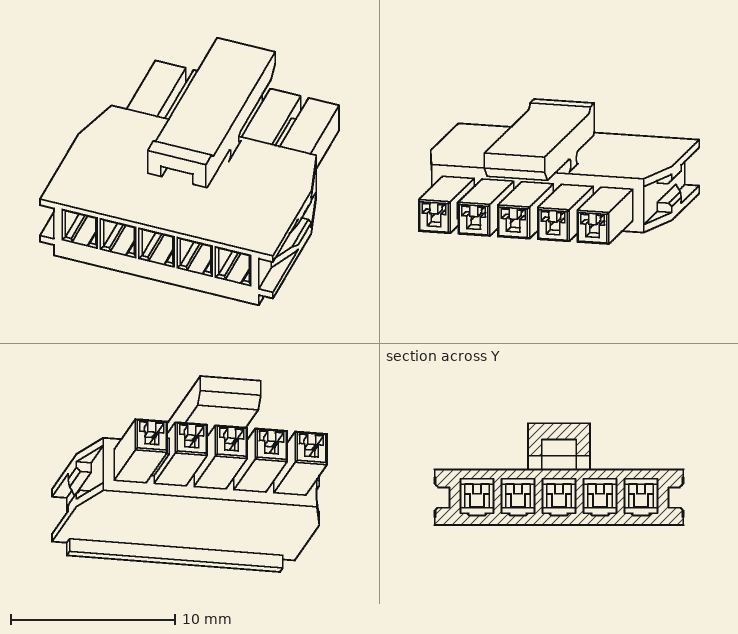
import cadquery as cq


housing_width = 15.2
housing_height = 3.4
housing_length = 9.87
flange_thickness = 0.5
flange_straight_length = 6.6
core_width = 13.36
lip_drop = 0.82
lip_length = 0.78

tab_start = 2.15
tab_knee = 4.05
tab_full = 4.38
tab_knee_inset = 0.1
upper_tab_height = 0.61
upper_tab_chamfer = 0.25
lower_tab_height = 0.57
lower_tab_chamfer = 0.2

cell_count = 5
cell_pitch = 2.5
mouth_width = 2.31
mouth_top = 3.0
mouth_depth = 0.16
cell_width = 1.99
cell_top = 2.82
cell_floor = 0.6
ledge_top = 0.73
groove_top_width = 1.22
groove_floor_width = 1.0
tunnel_start = 9.0
tunnel_width = 1.49
tunnel_floor = 1.05
tunnel_top = 2.5

taper_start = tunnel_start - (cell_width - tunnel_width) / 2
ramp_start = taper_start - (tunnel_floor - cell_floor)

tower_width = 2.0
tower_floor = 0.7
tower_top = 2.7
tower_tip = 15.7
tip_chamfer_length = 0.13
tip_chamfer_inset = 0.1
stop_thickness = 1.0
pad_width = 0.32
pad_top = 1.9
tooth_width = 0.5
tooth_height = 0.6
sill_height = 0.06

key_rib_end = 13.97
key_rib_floor = 1.2
key_rib_top = 2.2

latch_width = 3.8
latch_front = 3.49
latch_rear = 15.41
latch_bottom = 4.22
latch_top = 5.87
hook_top = 6.22
hook_flat_end = 4.48
hook_sweep_end = 4.97
latch_front_radius = 0.35
latch_rear_chamfer = 0.7
leg_front = 7.8
leg_rear = 9.13
leg_gap = 2.1
latch_slot_top = 5.21


def box(x_range, y_range, z_range):
    """Axis-aligned block between the given limits."""
    size = [high - low for low, high in (x_range, y_range, z_range)]
    corner = (x_range[0], y_range[0], z_range[0])
    return cq.Workplane("XY").box(*size, centered=False).translate(corner)


def centred_box(x, width, y_range, z_range):
    """Block of the given width centred on x."""
    return box((x - width / 2, x + width / 2), y_range, z_range)


def section(y):
    """Sketch plane across the part at y, with local axes X and Z."""
    return cq.Workplane(cq.Plane(origin=(0, y, 0), xDir=(1, 0, 0), normal=(0, -1, 0)))


def rectangle_points(x, width, bottom, top):
    """Corners of a rectangle in the XZ plane, centred on x."""
    left = x - width / 2
    right = x + width / 2
    return [(left, bottom), (right, bottom), (right, top), (left, top)]


def taper(x, near, far):
    """Solid between two rectangles, each given as (y, width, bottom, top)."""
    near_y, *near_size = near
    far_y, *far_size = far
    return (
        section(near_y)
        .polyline(rectangle_points(x, *near_size)).close()
        .workplane(offset=near_y - far_y)
        .polyline(rectangle_points(x, *far_size)).close()
        .loft(ruled=True)
    )


def make_flange(bottom):
    """Plate whose sides draw in to the core width at the rear."""
    half = housing_width / 2
    rear_half = core_width / 2
    outline = [
        (-half, 0),
        (half, 0),
        (half, flange_straight_length),
        (rear_half, housing_length),
        (-rear_half, housing_length),
        (-half, flange_straight_length),
    ]
    plane = cq.Workplane("XY").workplane(offset=bottom)
    return plane.polyline(outline).close().extrude(flange_thickness)


def make_housing():
    """Core block, both flanges and the front lip below the floor."""
    core = centred_box(0, core_width, (0, housing_length), (0, housing_height))
    lip = centred_box(0, core_width, (0, lip_length), (-lip_drop, 0))
    return (
        core.union(make_flange(0))
        .union(make_flange(housing_height - flange_thickness))
        .union(lip)
    )


def make_tab(flange_face, direction, height, chamfer):
    """Right-hand ramped tab rising from a flange face, with its free outer edge bevelled."""
    half = housing_width / 2
    root = core_width / 2
    plan = [
        (root, tab_start),
        (half - tab_knee_inset, tab_knee),
        (half, tab_full),
        (half, flange_straight_length),
        (root, flange_straight_length),
    ]
    block = (
        cq.Workplane("XY").workplane(offset=flange_face)
        .polyline(plan).close().extrude(direction * height)
    )
    free_face = flange_face + direction * height
    profile = [
        (root, flange_face),
        (half, flange_face),
        (half, free_face - direction * chamfer),
        (half - chamfer, free_face),
        (root, free_face),
    ]
    envelope = section(0).polyline(profile).close().extrude(-flange_straight_length)
    return block.intersect(envelope)


def make_tower(x):
    """Rear tower with a tapered tip."""
    shoulder = tower_tip - tip_chamfer_length
    shaft = centred_box(x, tower_width, (tunnel_start, shoulder), (tower_floor, tower_top))
    tip = taper(
        x,
        (shoulder, tower_width, tower_floor, tower_top),
        (
            tower_tip,
            tower_width - 2 * tip_chamfer_inset,
            tower_floor + tip_chamfer_inset,
            tower_top - tip_chamfer_inset,
        ),
    )
    return shaft.union(tip)


def make_cavity(x):
    """Space for one contact: flared mouth, grooved cell, ramp, side taper and rear tunnel."""
    mouth = taper(
        x,
        (0, mouth_width, cell_floor, mouth_top),
        (mouth_depth, cell_width, ledge_top, cell_top),
    )
    cell = centred_box(x, cell_width, (0, ramp_start), (ledge_top, cell_top))
    groove_outline = [
        (x - groove_floor_width / 2, cell_floor),
        (x + groove_floor_width / 2, cell_floor),
        (x + groove_top_width / 2, ledge_top),
        (x - groove_top_width / 2, ledge_top),
    ]
    groove = section(0).polyline(groove_outline).close().extrude(-ramp_start)
    ledge_ramp_start = ramp_start + ledge_top - cell_floor
    cell = cell.union(centred_box(x, cell_width, (0, ledge_ramp_start), (ledge_top, tunnel_top)))
    ramp = taper(
        x,
        (ledge_ramp_start, cell_width, ledge_top, tunnel_top),
        (taper_start, cell_width, tunnel_floor, tunnel_top),
    )
    groove_ramp = taper(
        x,
        (ramp_start, groove_floor_width, cell_floor, tunnel_top),
        (ledge_ramp_start, groove_top_width, ledge_top, tunnel_top),
    )
    side_taper = taper(
        x,
        (taper_start, cell_width, tunnel_floor, tunnel_top),
        (tunnel_start, tunnel_width, tunnel_floor, tunnel_top),
    )
    tunnel = centred_box(x, tunnel_width, (tunnel_start, tower_tip), (tunnel_floor, tunnel_top))
    cavity = mouth
    for space in (cell, groove, groove_ramp, ramp, side_taper, tunnel):
        cavity = cavity.union(space)
    return cavity


def make_contact_stop(x):
    """Pads, sill and tooth that narrow the tunnel near the tower tip."""
    depth = (tower_tip - stop_thickness, tower_tip)
    sill = centred_box(x, tunnel_width, depth, (tunnel_floor, tunnel_floor + sill_height))
    tooth = centred_box(x, tooth_width, depth, (tunnel_top - tooth_height, tunnel_top))
    stop = sill.union(tooth)
    for side in (-1, 1):
        pad_x = x + side * (tunnel_width - pad_width) / 2
        stop = stop.union(centred_box(pad_x, pad_width, depth, (tunnel_floor, pad_top)))
    return stop


def make_latch():
    """Hooked lever on a necked foot; the middle is cleared so the foot becomes two legs."""
    neck_radius = (latch_bottom - housing_height) / 2
    neck_middle = housing_height + neck_radius
    hook_rise = hook_top - latch_top
    hook_run = hook_sweep_end - hook_flat_end
    hook_radius = (hook_rise**2 + hook_run**2) / (2 * hook_rise)
    profile = (
        cq.Workplane("YZ")
        .moveTo(latch_front, hook_top)
        .lineTo(hook_flat_end, hook_top)
        .radiusArc((hook_sweep_end, latch_top), -hook_radius)
        .lineTo(latch_rear, latch_top)
        .lineTo(latch_rear, latch_bottom + latch_rear_chamfer)
        .lineTo(latch_rear - latch_rear_chamfer, latch_bottom)
        .lineTo(leg_rear + neck_radius, latch_bottom)
        .threePointArc((leg_rear, neck_middle), (leg_rear + neck_radius, housing_height))
        .lineTo(leg_front - neck_radius, housing_height)
        .threePointArc((leg_front, neck_middle), (leg_front - neck_radius, latch_bottom))
        .lineTo(latch_front + latch_front_radius, latch_bottom)
        .radiusArc((latch_front, latch_bottom + latch_front_radius), latch_front_radius)
        .close()
    )
    lever = profile.extrude(latch_width / 2, both=True)
    front_slot = centred_box(0, leg_gap, (latch_front, leg_front), (latch_bottom, latch_slot_top))
    leg_slot = centred_box(0, leg_gap, (latch_front, latch_rear), (housing_height, latch_bottom))
    return lever.cut(front_slot).cut(leg_slot)


first_cell = -(cell_count - 1) / 2 * cell_pitch
cell_centres = [first_cell + i * cell_pitch for i in range(cell_count)]

result = make_housing()

upper_tab = make_tab(housing_height - flange_thickness, -1, upper_tab_height, upper_tab_chamfer)
lower_tab = make_tab(flange_thickness, 1, lower_tab_height, lower_tab_chamfer)
for tab in (upper_tab, lower_tab):
    result = result.union(tab).union(tab.mirror("YZ"))

for centre in cell_centres:
    result = result.union(make_tower(centre))
    result = result.cut(make_cavity(centre))
    result = result.union(make_contact_stop(centre))

key_rib = box(
    (cell_centres[-2] + tower_width / 2, cell_centres[-1] - tower_width / 2),
    (housing_length, key_rib_end),
    (key_rib_floor, key_rib_top),
)
result = result.union(key_rib).union(make_latch())